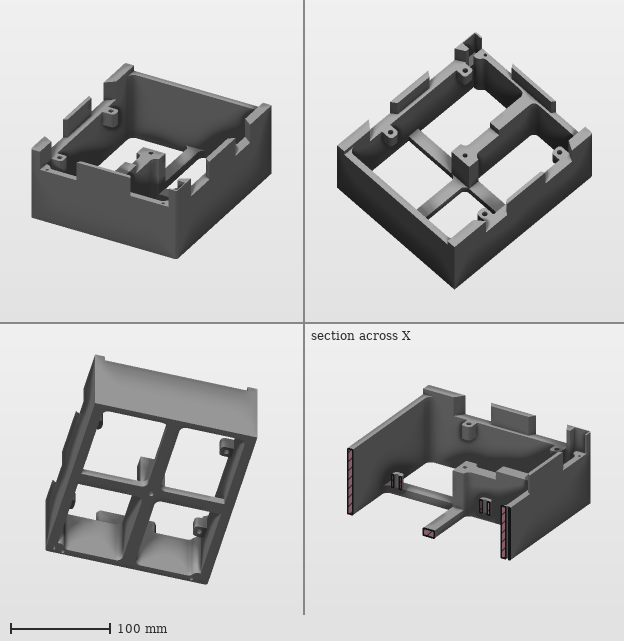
import cadquery as cq
import math

LENGTH_X = 169.01
LENGTH_Y = 194.18
HEIGHT = 79.94
HALF_X = LENGTH_X / 2
HALF_Y = LENGTH_Y / 2

SIDE_WALL = 10.1
BACK_WALL = 6.7
FRONT_WALL = 6.6
INNER_X = HALF_X - SIDE_WALL
INNER_BACK_Y = HALF_Y - BACK_WALL
INNER_FRONT_Y = -HALF_Y + FRONT_WALL
BACK_CORNER_RADIUS = 7.0
FRONT_CORNER_RADIUS = 2.6
BACK_WALL_DROP = 6.2
BACK_WALL_TOP = HEIGHT - BACK_WALL_DROP
TAB_HEIGHT = 21.0
LEDGE_Z = HEIGHT - TAB_HEIGHT

REAR_TAB_OUTER_Y = 52.8
REAR_TAB_INNER_Y = 60.8
FRONT_TAB_OUTER_Y = -67.8
FRONT_TAB_INNER_Y = -73.8
LEFT_FRONT_TAB_INNER_X = 73.5
RIGHT_FRONT_TAB_INNER_X = INNER_X
MIDDLE_TAB_REAR_Y = 23.0
MIDDLE_TAB_FRONT_Y = -30.6
LEFT_MIDDLE_TAB = 4.1
RIGHT_MIDDLE_TAB = 6.4
MIDDLE_TAB_SLOPE = 0.68
FRONT_CENTRE_TAB_HALF = 31.2
FRONT_CENTRE_TAB = 4.1
FRONT_CENTRE_TAB_TAPER = 2.8

RIB_WIDTH = 13.2
RIB_HEIGHT = 8.5
RIB_FILLET = 6.2
BOSS_LENGTH = RIB_WIDTH + 2 * RIB_FILLET
BOSS_HEIGHT = 49.5
BOSS_HOLE = 4.92
RAISED_RIB_Y = -41.3

LUG_DEPTH = 15.0
LUG_HOLE = 5.5
LUG_HOLE_X = 67.9
REAR_LUG_Y = 38.4
REAR_LUG_WIDTH = 11.6
REAR_LUG_TIP_X = 61.1
REAR_LUG_RADIUS = 4.2
FRONT_LUG_Y = -66.5
FRONT_LUG_WIDTH = 12.4
FRONT_LUG_TIP_X = 62.0
FRONT_LUG_RADIUS = 3.6

POST_X = 72.7
POST_Y = -91.6
POST_RADIUS = 7.1
POST_BLEND = 5.0
POST_OUTER_X = 75.0
POST_HOLE = 3.45
POST_HOLE_X = 67.0
POST_HOLE_Y = -93.7

POCKET_REAR_Y = -78.1
POCKET_SIDE_SKIN = 0.9
POCKET_FRONT_SKIN = 1.9
POCKET_DEPTH = 15.0
POCKET_FLOOR = LEDGE_Z - POCKET_DEPTH
POCKET_HOLE = 4.92
POCKET_HOLE_X = 75.7
POCKET_HOLE_Y = -90.7


def block(x0, x1, y0, y1, z0, z1):
    """Box between two opposite corners."""
    return cq.Workplane("XY").box(x1 - x0, y1 - y0, z1 - z0, centered=False).translate((x0, y0, z0))


def prism(points, z0, z1):
    """Upright prism over a closed polygon."""
    return cq.Workplane("XY").workplane(offset=z0).polyline(points).close().extrude(z1 - z0)


def drill(body, x, y, diameter, z0=0.0, z1=HEIGHT):
    """Cut a vertical round hole between two heights."""
    hole = cq.Workplane("XY").workplane(offset=z0).center(x, y).circle(diameter / 2).extrude(z1 - z0)
    return body.cut(hole)


def fillet_web(x, y, x_sign, y_sign, height):
    """Concave quarter-round filling an inside corner at (x, y)."""
    r = RIB_FILLET
    mid = r * (1 - math.sqrt(0.5))
    return (
        cq.Workplane("XY")
        .moveTo(x, y)
        .lineTo(x + x_sign * r, y)
        .threePointArc((x + x_sign * mid, y + y_sign * mid), (x, y + y_sign * r))
        .close()
        .extrude(height)
    )


def make_walls():
    """Rectangular frame up to the ledge, with the taller back wall."""
    outer = block(-HALF_X, HALF_X, -HALF_Y, HALF_Y, 0, LEDGE_Z)
    cavity = block(-INNER_X, INNER_X, INNER_FRONT_Y, INNER_BACK_Y, 0, HEIGHT)
    cavity = cavity.edges("|Z and >Y").fillet(BACK_CORNER_RADIUS)
    back = block(-HALF_X, HALF_X, REAR_TAB_INNER_Y, HALF_Y, LEDGE_Z, BACK_WALL_TOP)
    return outer.union(back).cut(cavity)


def make_post(side):
    """Rounded screw post in a front corner, flat on its outer side and blended into the front wall."""
    post = cq.Workplane("XY").center(side * POST_X, POST_Y).circle(POST_RADIUS).extrude(LEDGE_Z)
    inside = block(-POST_OUTER_X, POST_OUTER_X, -HALF_Y, POST_Y + POST_RADIUS, 0, LEDGE_Z)
    blend_y = INNER_FRONT_Y + POST_BLEND
    reach = POST_RADIUS + POST_BLEND
    blend_x = POST_X - math.sqrt(reach**2 - (blend_y - POST_Y) ** 2)
    web = prism(
        [
            (side * POST_X, POST_Y),
            (side * blend_x, -HALF_Y),
            (side * blend_x, blend_y),
        ],
        0,
        LEDGE_Z,
    )
    round_cut = cq.Workplane("XY").center(side * blend_x, blend_y).circle(POST_BLEND).extrude(LEDGE_Z)
    return post.intersect(inside).union(web.cut(round_cut))


def make_side_tabs(side, middle_thickness, front_inner_x):
    """Rear, middle and front tabs of one side wall."""
    outer = side * HALF_X
    inner = side * INNER_X
    front_inner = side * front_inner_x
    rear = prism(
        [(outer, HALF_Y), (inner, HALF_Y), (inner, REAR_TAB_INNER_Y), (outer, REAR_TAB_OUTER_Y)],
        LEDGE_Z,
        HEIGHT,
    )
    middle_inner = side * (HALF_X - middle_thickness)
    taper = middle_thickness * MIDDLE_TAB_SLOPE
    middle = prism(
        [
            (outer, MIDDLE_TAB_REAR_Y),
            (middle_inner, MIDDLE_TAB_REAR_Y - taper),
            (middle_inner, MIDDLE_TAB_FRONT_Y + taper),
            (outer, MIDDLE_TAB_FRONT_Y),
        ],
        LEDGE_Z,
        HEIGHT,
    )
    front = prism(
        [
            (outer, FRONT_TAB_OUTER_Y),
            (front_inner, FRONT_TAB_INNER_Y),
            (front_inner, -HALF_Y),
            (outer, -HALF_Y),
        ],
        LEDGE_Z,
        HEIGHT,
    )
    return rear.union(middle).union(front)


def make_front_centre_tab():
    """Tapered tab in the middle of the front wall."""
    inner_half = FRONT_CENTRE_TAB_HALF - FRONT_CENTRE_TAB_TAPER
    inner_y = -HALF_Y + FRONT_CENTRE_TAB
    return prism(
        [
            (-FRONT_CENTRE_TAB_HALF, -HALF_Y),
            (FRONT_CENTRE_TAB_HALF, -HALF_Y),
            (inner_half, inner_y),
            (-inner_half, inner_y),
        ],
        LEDGE_Z,
        HEIGHT,
    )


def make_cross():
    """Floor cross with the centre boss and the raised front rib."""
    half = RIB_WIDTH / 2
    half_boss = BOSS_LENGTH / 2
    cross = block(-INNER_X, INNER_X, -half, half, 0, RIB_HEIGHT)
    cross = cross.union(block(-half, half, 0, INNER_BACK_Y, 0, RIB_HEIGHT))
    cross = cross.union(block(-half_boss, half_boss, -half, half, 0, BOSS_HEIGHT))
    cross = cross.union(block(-half, half, RAISED_RIB_Y, 0, 0, BOSS_HEIGHT))
    cross = cross.union(block(-half, half, INNER_FRONT_Y, RAISED_RIB_Y, 0, LEDGE_Z))
    for side in (-1, 1):
        cross = cross.union(fillet_web(side * half, INNER_BACK_Y, side, -1, RIB_HEIGHT))
        cross = cross.union(fillet_web(side * half, half, side, 1, RIB_HEIGHT))
        cross = cross.union(fillet_web(side * half, -half, side, -1, BOSS_HEIGHT))
        cross = cross.union(fillet_web(side * half, INNER_FRONT_Y, side, 1, LEDGE_Z))
    return cross


def make_lug(side, y, width, tip_x, radius):
    """Lug hanging below the ledge, with rounded tip corners."""
    lug = block(tip_x, INNER_X, y - width / 2, y + width / 2, LEDGE_Z - LUG_DEPTH, LEDGE_Z)
    lug = lug.edges("|Z and <X").fillet(radius)
    return lug if side > 0 else lug.mirror("YZ")


def round_front_corners(body):
    """Trim the two outer front edges to a radius."""
    envelope = block(-HALF_X, HALF_X, -HALF_Y, HALF_Y, 0, HEIGHT)
    envelope = envelope.edges("|Z and <Y").fillet(FRONT_CORNER_RADIUS)
    return body.intersect(envelope)


def cut_pocket(body):
    """Pocket in the right front corner, open to the inside, with a hole in its floor."""
    outer_x = HALF_X - POCKET_SIDE_SKIN
    front_y = -HALF_Y + POCKET_FRONT_SKIN
    pocket = block(INNER_X, outer_x, front_y, POCKET_REAR_Y, POCKET_FLOOR, HEIGHT)
    tab_trim = block(INNER_X, POST_OUTER_X, -HALF_Y, POCKET_REAR_Y, LEDGE_Z, HEIGHT)
    body = body.cut(pocket).cut(tab_trim)
    return drill(body, POCKET_HOLE_X, POCKET_HOLE_Y, POCKET_HOLE, 0, POCKET_FLOOR)


body = make_walls().union(make_cross()).union(make_front_centre_tab())
body = body.union(make_side_tabs(-1, LEFT_MIDDLE_TAB, LEFT_FRONT_TAB_INNER_X))
body = body.union(make_side_tabs(1, RIGHT_MIDDLE_TAB, RIGHT_FRONT_TAB_INNER_X))
body = cut_pocket(body)
for side in (-1, 1):
    body = body.union(make_post(side))
    body = body.union(make_lug(side, REAR_LUG_Y, REAR_LUG_WIDTH, REAR_LUG_TIP_X, REAR_LUG_RADIUS))
    body = body.union(make_lug(side, FRONT_LUG_Y, FRONT_LUG_WIDTH, FRONT_LUG_TIP_X, FRONT_LUG_RADIUS))
body = round_front_corners(body)
body = drill(body, 0, 0, BOSS_HOLE)
for side in (-1, 1):
    body = drill(body, side * POST_HOLE_X, POST_HOLE_Y, POST_HOLE)
    for lug_y in (REAR_LUG_Y, FRONT_LUG_Y):
        body = drill(body, side * LUG_HOLE_X, lug_y, LUG_HOLE)

result = body